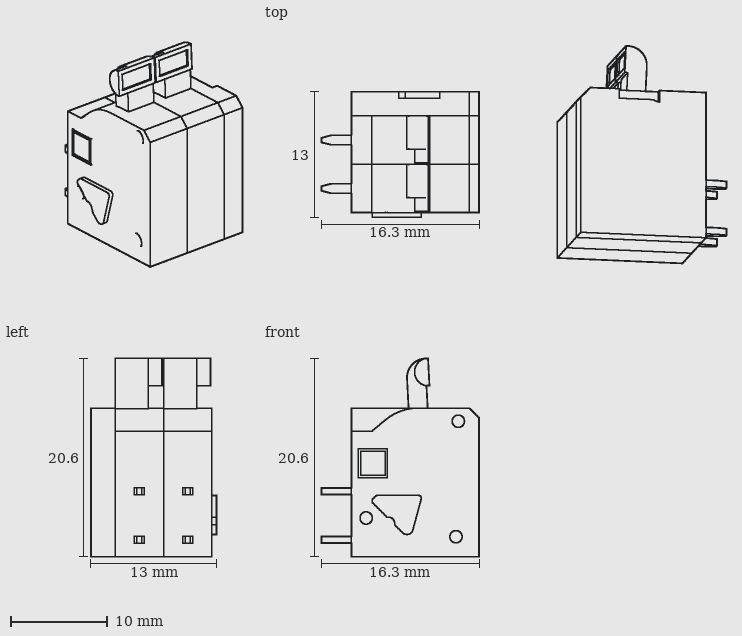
import cadquery as cq
import math


overall_height = 20.55
overall_depth = 13.0
overall_length = 16.3
boss_height = 0.5
pole_count = 2
end_plate_share = 0.5
pitch = (overall_depth - boss_height) / (pole_count + end_plate_share)
end_plate_thickness = end_plate_share * pitch

pin_length = 3.1
housing_length = overall_length - pin_length
housing_height = 15.38
chamfer_size = 1.0
step_height = 12.98
step_length = 2.1
slope_angle = math.radians(40)
shoulder_radius = 5.25

pin_thickness = 0.7
pin_width = 1.0
pin_tip_width = 0.5
pin_taper_length = 1.0
lower_pin_z = 1.79
pin_heights = [lower_pin_z, lower_pin_z + pitch]

socket_centres = [(1.52, 4.03), (10.8, 2.1), (11.05, 14.03)]
socket_radius = 0.7
socket_floor_radius = 0.64
socket_lip_radius = 0.51
socket_depth = 1.5

frame_centre = (2.22, 9.67)
frame_outer_side = 3.0
frame_inner_side = 2.5
frame_depth = 0.2

boss_top_z = 6.37
boss_left_x = 1.42
boss_right_x = 7.31
boss_drop = 4.65
boss_left_truncation = 0.82
boss_corner_radius = 0.3
boss_lower_radius = 0.64
boss_notch_centre = (3.78, 3.43)
boss_notch_radius = 0.7

notch_start_x = 4.9
notch_end_x = 9.15
notch_width = 0.65
notch_depth = 1.0
notch_groove_width = 0.65
notch_groove_angle = math.radians(35)

lever_tilt = 3.0
lever_pivot_x = 7.93
lever_shank_thickness = 2.0
lever_lip = 0.3
lever_head_height = 2.83
lever_peg_bulge = 1.48
lever_length = 6.16
lever_front_gap = 0.15
peg_length = 1.42
grip_margin = 0.51
grip_depth = 0.2


def plane_at(y):
    """Vertical sketch plane facing -Y; negative extrusions run towards +Y."""
    return cq.Workplane("XZ", origin=(0, y, 0))


def housing_outline(y):
    """Pole profile: step, slope and tangent round shoulder, with a chamfered far corner."""
    slope_end_z = housing_height - shoulder_radius * (1 - math.cos(slope_angle))
    slope_end_x = step_length + (slope_end_z - step_height) / math.tan(slope_angle)
    arc_centre_x = slope_end_x + shoulder_radius * math.sin(slope_angle)
    arc_centre_z = housing_height - shoulder_radius
    arc_middle = (
        arc_centre_x - shoulder_radius * math.sin(slope_angle / 2),
        arc_centre_z + shoulder_radius * math.cos(slope_angle / 2),
    )
    return (
        plane_at(y)
        .moveTo(0, 0)
        .lineTo(0, step_height)
        .lineTo(step_length, step_height)
        .lineTo(slope_end_x, slope_end_z)
        .threePointArc(arc_middle, (arc_centre_x, housing_height))
        .lineTo(housing_length - chamfer_size, housing_height)
        .lineTo(housing_length, housing_height - chamfer_size)
        .lineTo(housing_length, 0)
        .close()
    )


def make_pin(y, z):
    """Flat pin with a tapered tip, centred on (y, z) and pointing to -X."""
    taper_start_x = pin_taper_length - pin_length
    return (
        cq.Workplane("XY", origin=(0, y, z))
        .polyline([
            (0, -pin_width / 2),
            (taper_start_x, -pin_width / 2),
            (-pin_length, -pin_tip_width / 2),
            (-pin_length, pin_tip_width / 2),
            (taper_start_x, pin_width / 2),
            (0, pin_width / 2),
        ])
        .close()
        .extrude(pin_thickness / 2, both=True)
    )


def make_pole(y):
    """Pole body with its solder pins, starting at the given Y."""
    pole = housing_outline(y).extrude(-pitch)
    for z in pin_heights:
        pole = pole.union(make_pin(y + pitch / 2, z))
    return pole


def make_socket_cutter(x, z):
    """Slightly tapered blind hole whose mouth is widened by a convex quarter-round lip."""
    mouth_radius = socket_radius + socket_lip_radius
    lip_bend = socket_lip_radius * (1 - math.sqrt(0.5))
    return (
        cq.Workplane("XY")
        .moveTo(0, 0)
        .lineTo(mouth_radius, 0)
        .threePointArc((socket_radius + lip_bend, lip_bend), (socket_radius, socket_lip_radius))
        .lineTo(socket_floor_radius, socket_depth)
        .lineTo(0, socket_depth)
        .close()
        .revolve(360, (0, 0, 0), (0, 1, 0))
        .translate((x, 0, z))
    )


def make_frame_cutter():
    """Square ring that leaves a pad standing inside the groove."""
    return (
        plane_at(0)
        .center(*frame_centre)
        .rect(frame_outer_side, frame_outer_side)
        .rect(frame_inner_side, frame_inner_side)
        .extrude(-frame_depth)
    )


def make_boss():
    """Rounded triangular boss with a round bite out of its 45 degree edge."""
    cut_drop = boss_left_truncation * math.sqrt(0.5)
    boss = (
        plane_at(0)
        .moveTo(boss_left_x + 2 * cut_drop, boss_top_z)
        .lineTo(boss_right_x, boss_top_z)
        .lineTo(boss_left_x + boss_drop, boss_top_z - boss_drop)
        .lineTo(boss_left_x + cut_drop, boss_top_z - cut_drop)
        .close()
        .extrude(boss_height)
    )
    boss = boss.edges("|Y").edges("<Z").fillet(boss_lower_radius)
    upper_corners = cq.selectors.BoxSelector(
        (0, -boss_height, boss_top_z - cut_drop - boss_corner_radius / 2),
        (housing_length, 0, boss_top_z + boss_corner_radius),
    )
    boss = boss.edges("|Y").edges(upper_corners).fillet(boss_corner_radius)
    bite = plane_at(0).center(*boss_notch_centre).circle(boss_notch_radius).extrude(boss_height)
    return boss.cut(bite)


def add_outer_face_details(pole):
    """Sockets, frame groove and boss on the exposed face of the first pole."""
    for x, z in socket_centres:
        pole = pole.cut(make_socket_cutter(x, z))
    return pole.cut(make_frame_cutter()).union(make_boss())


def make_end_plate(y):
    """Full-height plate; its top notch opens at the far face, with a shallow groove at one end."""
    plate = (
        plane_at(y)
        .rect(housing_length, housing_height, centered=False)
        .extrude(-end_plate_thickness)
        .edges("|Y and >X and >Z")
        .chamfer(chamfer_size)
    )
    floor_z = housing_height - notch_depth
    groove_radius = notch_groove_width / math.sin(notch_groove_angle)
    groove_centre_z = floor_z + groove_radius * math.cos(notch_groove_angle)
    groove_middle = (
        notch_start_x + groove_radius * math.sin(notch_groove_angle / 2),
        groove_centre_z - groove_radius * math.cos(notch_groove_angle / 2),
    )
    notch = (
        plane_at(y + end_plate_thickness - notch_width)
        .moveTo(notch_start_x, housing_height)
        .lineTo(notch_start_x, groove_centre_z - groove_radius)
        .threePointArc(groove_middle, (notch_start_x + notch_groove_width, floor_z))
        .lineTo(notch_end_x, floor_z)
        .lineTo(notch_end_x, housing_height)
        .close()
        .extrude(-notch_width)
    )
    return plate.cut(notch)


def make_lever(y):
    """Tilted lever standing on its pole, with a side peg and a finger recess in its back."""
    front_x = -(lever_shank_thickness + lever_lip)
    arc_radius = lever_shank_thickness
    arc_middle = (
        -lever_lip - arc_radius * math.sqrt(0.5),
        -arc_radius * (1 - math.sqrt(0.5)),
    )
    shank_start = lever_front_gap + peg_length
    shank = (
        plane_at(shank_start)
        .moveTo(0, 0)
        .lineTo(0, -lever_head_height)
        .lineTo(-lever_lip, -lever_head_height)
        .lineTo(-lever_lip, -lever_length)
        .lineTo(front_x, -lever_length)
        .lineTo(front_x, -arc_radius)
        .threePointArc(arc_middle, (-lever_lip, 0))
        .close()
        .extrude(shank_start - pitch)
    )
    peg = (
        plane_at(lever_front_gap)
        .moveTo(0, 0)
        .lineTo(-lever_lip, 0)
        .threePointArc(
            (-lever_peg_bulge, -lever_head_height / 2), (-lever_lip, -lever_head_height)
        )
        .lineTo(0, -lever_head_height)
        .close()
        .extrude(-peg_length)
    )
    grip_width = pitch - lever_front_gap - 2 * grip_margin
    grip = cq.Workplane("XY").box(
        2 * grip_depth, grip_width, lever_head_height - 2 * grip_margin
    ).translate((0, (lever_front_gap + pitch) / 2, -lever_head_height / 2))
    lever = (
        shank.union(peg)
        .cut(grip)
        .rotate((0, 0, 0), (0, 1, 0), -lever_tilt)
        .translate((lever_pivot_x, y, overall_height))
    )
    return lever.cut(housing_outline(y).extrude(-pitch))


poles = []
levers = []
for index in range(pole_count):
    poles.append(make_pole(index * pitch))
    levers.append(make_lever(index * pitch))
poles[0] = add_outer_face_details(poles[0])
end_plate = make_end_plate(pole_count * pitch)

result = cq.Compound.makeCompound([body.val() for body in [*poles, *levers, end_plate]])